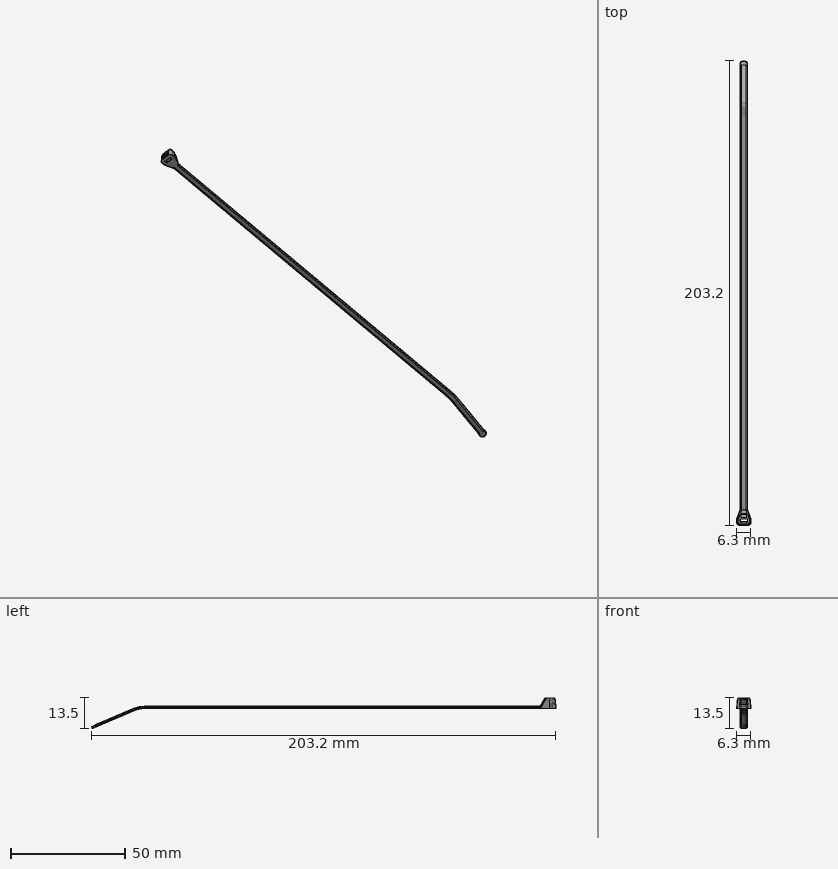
import cadquery as cq
import math

total_length = 203.2
total_height = 13.5

strap_width = 3.3
strap_thickness = 1.0
strap_flat_width = 1.8
strap_ridge_height = 0.5
strap_start = 4.0

bend_angle = math.radians(23)
bend_radius = 11.5
tip_length = 2.0
tip_thickness = 0.8
tip_corner_radius = 1.5
tip_overlap = 0.2

head_height = 4.7
head_width = 6.3
head_straight_length = 2.8
head_length = 7.0
head_corner_radius = 1.5
lower_height = 3.5
lower_draft = 4
upper_draft = 20
ramp_top_y = 4.9
ramp_edge_chamfer = 0.6

slot_width = 3.0
slot_depth = 1.0
slot_y = 2.2

window_top = 4.0
frame_width = 3.3
frame_bottom = 1.8
frame_depth = 0.6
window_width = 2.2
window_bottom = 2.5

relief_width = 2.2
relief_start = 3.5
relief_drop = 1.0

tail_drop = total_height - head_height
bend_run = bend_radius * math.sin(bend_angle)
bend_drop = bend_radius * (1 - math.cos(bend_angle))
tip_y = total_length - tip_thickness * math.sin(bend_angle)
bend_end = tip_y - (tail_drop - bend_drop) / math.tan(bend_angle)
bend_start = bend_end - bend_run


def make_strap():
    half = strap_width / 2
    flat = strap_flat_width / 2
    section = [(-flat, 0), (flat, 0), (half, strap_ridge_height), (flat, strap_thickness),
               (-flat, strap_thickness), (-half, strap_ridge_height)]
    bend_middle = (bend_start + bend_radius * math.sin(bend_angle / 2),
                   -bend_radius * (1 - math.cos(bend_angle / 2)))
    slope_end = (tip_y - tip_length * math.cos(bend_angle),
                 tip_length * math.sin(bend_angle) - tail_drop)
    path = (
        cq.Workplane("YZ")
        .moveTo(strap_start, 0)
        .lineTo(bend_start, 0)
        .threePointArc(bend_middle, (bend_end, -bend_drop))
        .lineTo(*slope_end)
    )
    return cq.Workplane("XZ", origin=(0, strap_start, 0)).polyline(section).close().sweep(path)


def make_tip():
    length = tip_length + tip_overlap
    tip = (
        cq.Workplane("XY")
        .box(strap_width, length, tip_thickness, centered=(True, False, False))
        .edges("|Z and >Y").fillet(tip_corner_radius)
        .translate((0, -length, 0))
        .rotate((0, 0, 0), (1, 0, 0), -math.degrees(bend_angle))
    )
    return tip.translate((0, tip_y, -tail_drop))


def make_head():
    half = head_width / 2
    neck = strap_width / 2
    plan = [(-half, 0), (half, 0), (half, head_straight_length), (neck, head_length),
            (-neck, head_length), (-half, head_straight_length)]
    outline = cq.Workplane("XY").polyline(plan).close().extrude(head_height)
    outline = outline.edges("|Z and <Y").fillet(head_corner_radius)
    head = (
        outline.faces("<Z").wires().toPending().workplane(invert=True)
        .extrude(lower_height, taper=lower_draft, combine=False)
    )
    upper = (
        head.faces(">Z").wires().toPending().workplane()
        .extrude(head_height - lower_height, taper=upper_draft, combine=False)
    )
    side = [(0, 0), (head_length, 0), (head_length, strap_thickness), (ramp_top_y, head_height), (0, head_height)]
    ramp = cq.Workplane("YZ").polyline(side).close().extrude(half, both=True)
    body = head.union(upper).intersect(ramp)
    ramp_centre = (0, (ramp_top_y + head_length) / 2, (strap_thickness + head_height) / 2)
    ramp_face = body.faces(cq.selectors.NearestToPointSelector(ramp_centre))
    return ramp_face.edges("not |X").chamfer(ramp_edge_chamfer)


def end_pocket(width, bottom, depth):
    pocket = cq.Workplane("XY").box(width, depth, window_top - bottom, centered=(True, False, False))
    return pocket.translate((0, 0, bottom))


def cut_openings(body):
    slot = cq.Workplane("XY").center(0, slot_y).rect(slot_width, slot_depth).extrude(head_height)
    relief_side = [(relief_start, head_height), (head_length, head_height),
                   (ramp_top_y, head_height - relief_drop)]
    relief = cq.Workplane("YZ").polyline(relief_side).close().extrude(relief_width / 2, both=True)
    body = body.cut(slot).cut(relief)
    body = body.cut(end_pocket(frame_width, frame_bottom, frame_depth))
    return body.cut(end_pocket(window_width, window_bottom, slot_y))


result = cut_openings(make_head().union(make_strap()).union(make_tip()))